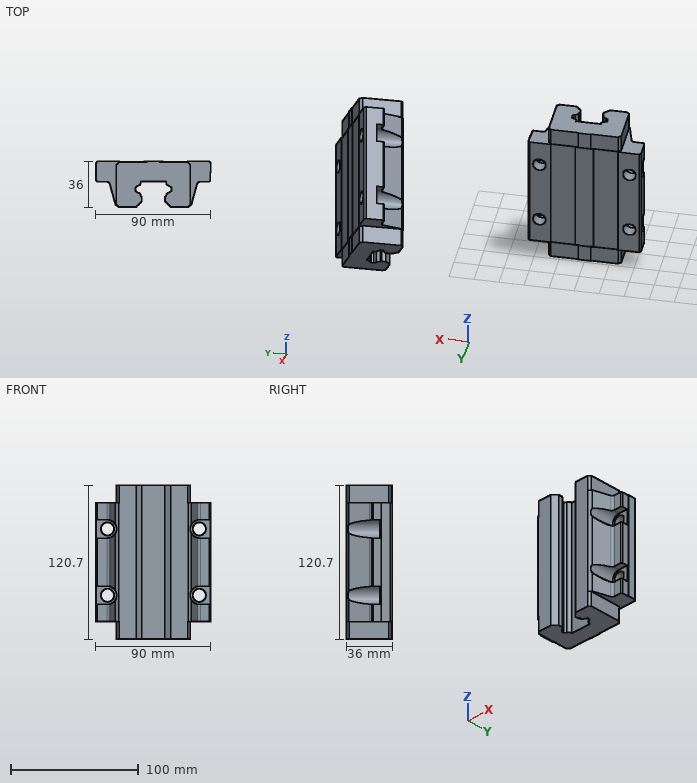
import cadquery as cq
import math


length = 120.7
height = 36.0
body_width = 90.0
body_length = 93.4
cap_width = 57.9

face_chamfer = (1.3, 1.6)
centre_pad_width = 14.5
pad_to_wing_gap = 19.5
groove_depth = 0.5

wing_depth = 16.2
wing_chamfer = 1.1
flank_fillet = 2.4
flank_top_half_width = 34.8
flank_foot_half_width = 29.8
foot_half_width = 27.2
foot_chamfer_height = 1.9
relief_start_depth = 8.7
relief_step = 0.4

cap_recess = 0.7
cap_chamfer = 2.2
cap_foot_chamfer = 2.0
cap_strip_width = 10.1
cap_strip_recess = 0.2

ceiling_depth = 16.0
neck_half_width = 9.9
bead_radius = 2.4
upper_bead_depth = 16.9
lower_bead_depth = 27.0
groove_half_width = 14.0
groove_bevel = 1.5
lip_half_width = 9.0
lip_bevel = 0.8
lip_top_depth = 28.0
mouth_chamfer = 4.5

hole_spacing_x = 71.9
hole_spacing_z = 52.0
hole_diameter = 10.1
spot_face_diameter = 14.2
spot_face_depth = 10.0

top = height / 2
bottom = -height / 2


def below_face(depth):
    """Y position of a point the given depth below the mounting face."""
    return top - depth


def mirrored_outline(half):
    """Closed outline from the +X half listed from top to bottom."""
    return half + [(-x, y) for x, y in reversed(half)]


def prism(points, prism_length):
    """Extrude an XY outline along Z, centred on the origin."""
    outline = cq.Workplane("XY").polyline(points).close()
    return outline.extrude(prism_length / 2, both=True)


def block(x_min, x_max, y_min, y_max, block_length):
    """Box centred in Z."""
    corners = [(x_min, y_min), (x_max, y_min), (x_max, y_max), (x_min, y_max)]
    return prism(corners, block_length)


def make_body():
    """Winged body between the end caps."""
    half_width = body_width / 2
    wing_bottom = below_face(wing_depth)
    chamfer_x, chamfer_y = face_chamfer
    half = [
        (half_width - chamfer_x, top),
        (half_width, top - chamfer_y),
        (half_width, wing_bottom + wing_chamfer),
        (half_width - wing_chamfer, wing_bottom),
        (flank_top_half_width, wing_bottom),
        (flank_foot_half_width, bottom + foot_chamfer_height),
        (foot_half_width, bottom),
    ]
    body = prism(mirrored_outline(half), body_length)
    for side in (-1, 1):
        corner = (side * flank_top_half_width, wing_bottom, 0)
        body = body.edges(cq.selectors.NearestToPointSelector(corner)).fillet(flank_fillet)

    pad_edge = centre_pad_width / 2
    groove = block(pad_edge, pad_edge + pad_to_wing_gap, top - groove_depth, top, body_length)
    body = body.cut(groove).cut(groove.mirror("YZ"))

    relief_x = half_width - relief_step
    relief_top = below_face(relief_start_depth)
    relief = prism(
        [
            (relief_x, relief_top),
            (half_width, relief_top),
            (half_width, wing_bottom),
            (half_width - wing_chamfer, wing_bottom),
            (relief_x, wing_bottom + wing_chamfer),
        ],
        body_length,
    )
    return body.cut(relief)


def make_core():
    """Full-length core whose ends, beyond the body, are the two end caps."""
    half_width = cap_width / 2
    cap_top = below_face(cap_recess)
    half = [
        (half_width - cap_chamfer, cap_top),
        (half_width, cap_top - cap_chamfer),
        (half_width, bottom + cap_foot_chamfer),
        (half_width - cap_foot_chamfer, bottom),
    ]
    core = prism(mirrored_outline(half), length)
    strip_edge = cap_strip_width / 2
    strip_top = below_face(cap_strip_recess)
    strip = block(-strip_edge, strip_edge, below_face(ceiling_depth / 2), strip_top, length)
    return core.union(strip)


def make_rail_opening():
    """Half profile, from the ceiling down to the mouth, mirrored to both sides."""
    bead_x = neck_half_width + bead_radius
    bead_diagonal = bead_radius * math.cos(math.pi / 4)
    bead_middle_x = bead_x - bead_diagonal
    upper_bead_y = below_face(upper_bead_depth)
    lower_bead_y = below_face(lower_bead_depth)
    upper_shelf = upper_bead_y - bead_radius
    lower_shelf = lower_bead_y + bead_radius
    lip_top = below_face(lip_top_depth)
    half_opening = (
        cq.Workplane("XY")
        .moveTo(0, below_face(ceiling_depth))
        .lineTo(neck_half_width, below_face(ceiling_depth))
        .lineTo(neck_half_width, upper_bead_y)
        .threePointArc((bead_middle_x, upper_bead_y - bead_diagonal), (bead_x, upper_shelf))
        .lineTo(groove_half_width, upper_shelf - groove_bevel)
        .lineTo(groove_half_width, lower_shelf + groove_bevel)
        .lineTo(bead_x, lower_shelf)
        .threePointArc((bead_middle_x, lower_bead_y + bead_diagonal), (neck_half_width, lower_bead_y))
        .lineTo(neck_half_width, lip_top + lip_bevel)
        .lineTo(lip_half_width, lip_top)
        .lineTo(lip_half_width, bottom + mouth_chamfer)
        .lineTo(lip_half_width + mouth_chamfer, bottom)
        .lineTo(0, bottom)
        .close()
        .extrude(length / 2, both=True)
    )
    return half_opening.union(half_opening.mirror("YZ"))


def cylinder_along_y(x, z, diameter, y_min, y_max):
    """Round cutter on the given X and Z, between two Y positions."""
    start = cq.Vector(x, y_min, z)
    return cq.Workplane(cq.Solid.makeCylinder(diameter / 2, y_max - y_min, start, cq.Vector(0, 1, 0)))


def cut_mounting_holes(part):
    """Through holes with open-sided spot faces that also bite into the sloping flanks."""
    floor = below_face(spot_face_depth)
    hole_x = hole_spacing_x / 2
    for side in (-1, 1):
        x = side * hole_x
        for z in (-hole_spacing_z / 2, hole_spacing_z / 2):
            outer_x = side * body_width / 2
            opening = block(min(x, outer_x), max(x, outer_x), bottom, floor, spot_face_diameter)
            part = part.cut(opening.translate((0, 0, z)))
            part = part.cut(cylinder_along_y(x, z, spot_face_diameter, bottom, floor))
            part = part.cut(cylinder_along_y(x, z, hole_diameter, bottom, top))
    return part


carriage = make_body().union(make_core()).cut(make_rail_opening())
result = cut_mounting_holes(carriage)